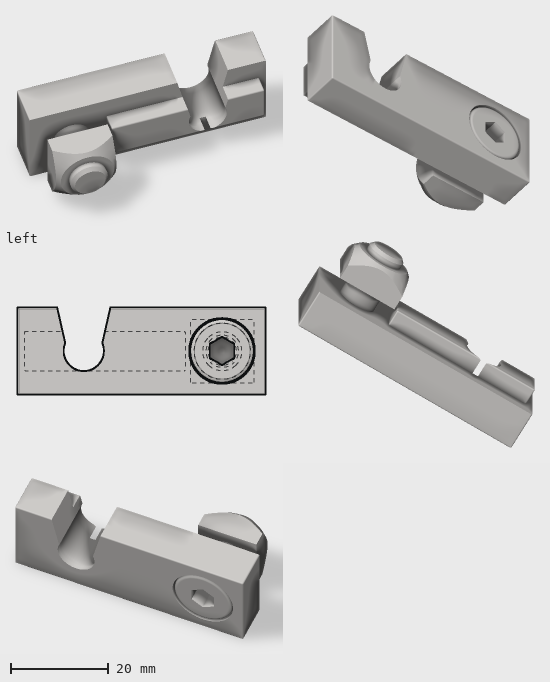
import cadquery as cq
import math

BAR_LENGTH = 51.0
BAR_HEIGHT = 18.0
BAR_WIDTH = 8.45
EDGE_FILLET = 0.3

RIB_START_Y = 16.6
RIB_END_Y = 49.5
RIB_HEIGHT = 8.1
RIB_FACE_X = 12.0

NOTCH_Y = 37.35
NOTCH_DIAMETER = 8.2
NOTCH_TOP_WIDTH = 10.9
NOTCH_NECK_WIDTH = 7.55

MID_Z = BAR_HEIGHT / 2
SCREW_Y = MID_Z
SHANK_DIAMETER = 8.0
TIP_DIAMETER = 6.65
TIP_CHAMFER_LENGTH = 0.75
SCREW_END_X = 21.0
HEAD_DIAMETER = 13.0
HEAD_HEIGHT = 5.0
HEAD_FILLET = 0.75
COUNTERBORE_DIAMETER = 13.5
SOCKET_ACROSS_FLATS = 5.0
SOCKET_DEPTH = 4.0
SOCKET_CONE_ANGLE = 120.0

NUT_START_X = 12.55
NUT_END_X = 19.05
NUT_SIDE = 13.0
NUT_END_DIAMETER = 11.55


def cylinder_x(diameter, start_x, end_x):
    """Cylinder along X on the screw axis."""
    return cq.Workplane(
        cq.Solid.makeCylinder(
            diameter / 2, end_x - start_x, cq.Vector(start_x, SCREW_Y, MID_Z), cq.Vector(1, 0, 0)
        )
    )


def make_notch():
    """Round seat with a flared mouth, cut through bar and rib."""
    radius = NOTCH_DIAMETER / 2
    half_neck = NOTCH_NECK_WIDTH / 2
    half_top = NOTCH_TOP_WIDTH / 2
    neck_z = MID_Z + math.sqrt(radius**2 - half_neck**2)
    return (
        cq.Workplane("YZ")
        .moveTo(NOTCH_Y - half_top, BAR_HEIGHT)
        .lineTo(NOTCH_Y - half_neck, neck_z)
        .threePointArc((NOTCH_Y, MID_Z - radius), (NOTCH_Y + half_neck, neck_z))
        .lineTo(NOTCH_Y + half_top, BAR_HEIGHT)
        .close()
        .extrude(RIB_FACE_X)
    )


def make_clamp_block():
    bar = cq.Workplane("XY").box(BAR_WIDTH, BAR_LENGTH, BAR_HEIGHT, centered=False)
    bar = bar.edges("<X or |X").fillet(EDGE_FILLET)
    rib = (
        cq.Workplane("XY")
        .box(RIB_FACE_X - BAR_WIDTH, RIB_END_Y - RIB_START_Y, RIB_HEIGHT, centered=False)
        .translate((BAR_WIDTH, RIB_START_Y, MID_Z - RIB_HEIGHT / 2))
        .edges(">X or |X")
        .fillet(EDGE_FILLET)
    )
    counterbore = cylinder_x(COUNTERBORE_DIAMETER, 0, HEAD_HEIGHT)
    shank_hole = cylinder_x(SHANK_DIAMETER, 0, BAR_WIDTH)
    return bar.union(rib).cut(make_notch()).cut(counterbore).cut(shank_hole)


def make_socket():
    """Hexagonal recess with a conical floor."""
    corner_radius = SOCKET_ACROSS_FLATS / math.sqrt(3)
    cone_depth = corner_radius / math.tan(math.radians(SOCKET_CONE_ANGLE / 2))
    hexagon = (
        cq.Workplane("YZ", origin=(0, SCREW_Y, MID_Z))
        .transformed(rotate=(0, 0, 90))
        .polygon(6, 2 * corner_radius)
        .extrude(SOCKET_DEPTH)
    )
    cone = cq.Solid.makeCone(
        corner_radius, 0, cone_depth, cq.Vector(SOCKET_DEPTH, SCREW_Y, MID_Z), cq.Vector(1, 0, 0)
    )
    return hexagon.union(cq.Workplane(cone))


def make_screw():
    tip_step = (SHANK_DIAMETER - TIP_DIAMETER) / 2
    head = cylinder_x(HEAD_DIAMETER, 0, HEAD_HEIGHT).edges("<X").fillet(HEAD_FILLET)
    shank = cylinder_x(SHANK_DIAMETER, HEAD_HEIGHT, SCREW_END_X)
    shank = shank.faces(">X").chamfer(TIP_CHAMFER_LENGTH, tip_step)
    return head.union(shank).cut(make_socket())


def make_nut():
    length = NUT_END_X - NUT_START_X
    block = (
        cq.Workplane("YZ", origin=(NUT_START_X, SCREW_Y, MID_Z))
        .rect(NUT_SIDE, NUT_SIDE)
        .extrude(length)
    )
    end_radius = NUT_END_DIAMETER / 2
    cone = cq.Workplane(
        cq.Solid.makeCone(
            end_radius + length, end_radius, length, cq.Vector(NUT_START_X, SCREW_Y, MID_Z), cq.Vector(1, 0, 0)
        )
    )
    return block.intersect(cone).cut(cylinder_x(SHANK_DIAMETER, NUT_START_X, NUT_END_X))


clamp_block = make_clamp_block().solids()
screw = make_screw().solids()
nut = make_nut().solids()

result = cq.Compound.makeCompound([clamp_block.val(), screw.val(), nut.val()])